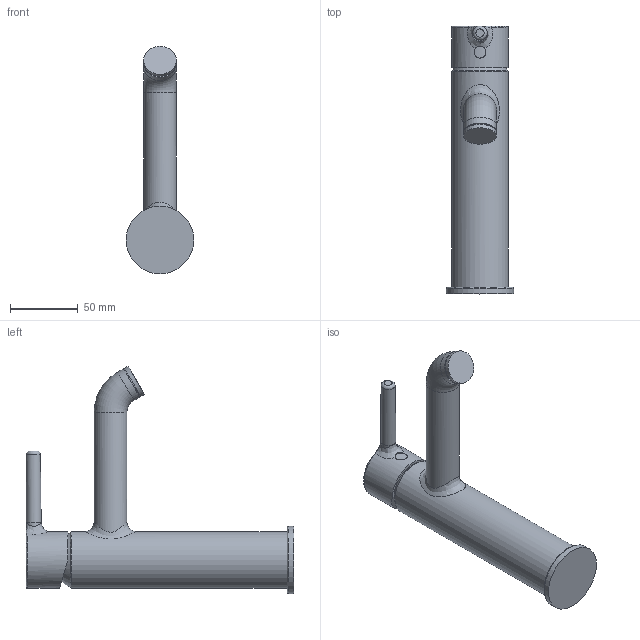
import cadquery as cq
import math

total_length = 197.71

flange_radius = 25.0
flange_thickness = 5.0
flange_edge_round = 0.9

tube_radius = 21.0
tube_end_y = 165.0
tube_end_chamfer_length = 0.6
dome_base_radius = 20.1
dome_radius = 21.6

spout_radius = 12.1
spout_y = 135.4
spout_bend_z = 108.68
spout_bend_radius = 22.5
spout_bend_angle = 60.0
spout_tip_length = 5.0
spout_root_fillet = 7.0

aerator_radius = 12.0
aerator_groove_radius = 11.5
aerator_groove_width = 1.0
aerator_rim_length = 3.0

cap_end_y = 167.0
cap_slant_angle = 16.0
cap_back_round = 1.2
lever_back_gap = 0.05
lever_base_radius = 5.55
lever_top_radius = 5.2
lever_taper_start_z = 27.7
lever_top_z = 80.3
lever_top_round = 2.2
lever_root_fillet = 6.6

button_radius = 4.4
button_y = 178.5
button_depth = 2.0


def cylinder_along_y(radius, start_y, end_y):
    """Solid cylinder on the main axis between two Y positions."""
    return cq.Workplane("XZ", origin=(0, start_y, 0)).circle(radius).extrude(start_y - end_y)


def root_edge_box(post_y, post_radius):
    """Selects the edge where an upright round post meets the top of the tube or the cap."""
    reach = 1.1 * post_radius
    return cq.selectors.BoxSelector(
        (-reach, post_y - reach, tube_radius / 2),
        (reach, post_y + reach, 1.1 * tube_radius),
        boundingbox=True,
    )


def make_flange():
    disc = cylinder_along_y(flange_radius, 0, flange_thickness)
    return disc.faces(">Y").edges().fillet(flange_edge_round)


def make_dome():
    """Spherical cap that starts at the end of the tube with the dome's base radius."""
    base_offset = math.sqrt(dome_radius**2 - dome_base_radius**2)
    mid_angle = (math.asin(base_offset / dome_radius) + math.pi / 2) / 2
    center_y = tube_end_y - base_offset
    return (
        cq.Workplane("XY")
        .moveTo(0, tube_end_y)
        .lineTo(dome_base_radius, tube_end_y)
        .threePointArc(
            (dome_radius * math.cos(mid_angle), center_y + dome_radius * math.sin(mid_angle)),
            (0, center_y + dome_radius),
        )
        .close()
        .revolve(360, (0, 0), (0, 1))
    )


def spout_tip_plane():
    """Plane at the end of the straight spout tip, facing out of the spout."""
    angle = math.radians(spout_bend_angle)
    tip_y = spout_y - spout_bend_radius * (1 - math.cos(angle)) - spout_tip_length * math.sin(angle)
    tip_z = spout_bend_z + spout_bend_radius * math.sin(angle) + spout_tip_length * math.cos(angle)
    return cq.Plane(
        origin=(0, tip_y, tip_z),
        xDir=(1, 0, 0),
        normal=(0, -math.sin(angle), math.cos(angle)),
    )


def make_body(dome):
    tube = cylinder_along_y(tube_radius, flange_thickness, tube_end_y)
    tube = tube.faces(">Y").chamfer(tube_end_chamfer_length, tube_radius - dome_base_radius)
    riser = cq.Workplane("XY", origin=(0, spout_y, 0)).circle(spout_radius).extrude(spout_bend_z)
    body = tube.union(riser)
    body = body.edges(root_edge_box(spout_y, spout_radius)).fillet(spout_root_fillet)

    bend = (
        cq.Workplane("XY", origin=(0, spout_y, spout_bend_z))
        .circle(spout_radius)
        .revolve(spout_bend_angle, (0, -spout_bend_radius, 0), (1, -spout_bend_radius, 0))
    )
    tip = cq.Workplane(spout_tip_plane()).circle(spout_radius).extrude(-spout_tip_length)
    return body.union(bend).union(tip).union(dome)


def make_aerator():
    plane = spout_tip_plane()
    neck = cq.Workplane(plane).circle(aerator_groove_radius).extrude(aerator_groove_width)
    rim = (
        cq.Workplane(plane)
        .workplane(offset=aerator_groove_width)
        .circle(aerator_radius)
        .extrude(aerator_rim_length)
    )
    return neck.union(rim)


def lever_section(radius, z):
    """Circle of the lever at a given height, just inside the plane of the cap's back face."""
    return cq.Workplane("XY", origin=(0, total_length - lever_back_gap - radius, z)).circle(radius)


def make_lever():
    """Tapered lever that leans back, so that its rear line stays vertical."""
    base = lever_section(lever_base_radius, lever_taper_start_z).wires().val()
    top = lever_section(lever_top_radius, lever_top_z).wires().val()
    lever = cq.Workplane(cq.Solid.makeLoft([base, top]))
    return lever.faces(">Z").edges().fillet(lever_top_round)


def make_handle(dome):
    untrimmed_end_y = total_length + 3 * lever_base_radius
    cap = cylinder_along_y(tube_radius, cap_end_y, untrimmed_end_y)
    stem = lever_section(lever_base_radius, 0).extrude(lever_taper_start_z)
    stem_y = total_length - lever_back_gap - lever_base_radius
    handle = cap.union(stem)
    handle = handle.edges(root_edge_box(stem_y, lever_base_radius)).fillet(lever_root_fillet)
    trim = cq.Workplane("XY").box(4 * tube_radius, total_length, 4 * tube_radius, centered=(True, False, True))
    handle = handle.intersect(trim)
    handle = handle.faces(">Y").edges().fillet(cap_back_round)
    handle = handle.union(make_lever())

    slant_run = tube_radius * math.tan(math.radians(cap_slant_angle))
    slant = (
        cq.Workplane("YZ")
        .moveTo(cap_end_y, 0)
        .lineTo(cap_end_y, -tube_radius)
        .lineTo(cap_end_y + slant_run, -tube_radius)
        .close()
        .extrude(tube_radius, both=True)
    )
    return handle.cut(slant).cut(dome).cut(make_button_bore())


def make_button_bore():
    """Upright round bore that leaves the seat of the button in the cap."""
    return (
        cq.Workplane("XY", origin=(0, button_y, tube_radius - button_depth))
        .circle(button_radius)
        .extrude(2 * button_depth)
    )


def make_button():
    """Round insert whose top continues the cylinder of the cap, also where it cuts into the lever's root."""
    return make_button_bore().intersect(cylinder_along_y(tube_radius, cap_end_y, total_length))


dome = make_dome()
flange = make_flange()
body = make_body(dome)
aerator = make_aerator()
handle = make_handle(dome)
button = make_button()

bodies = [flange, body, aerator, handle, button]
result = cq.Compound.makeCompound([part.solids().val() for part in bodies])